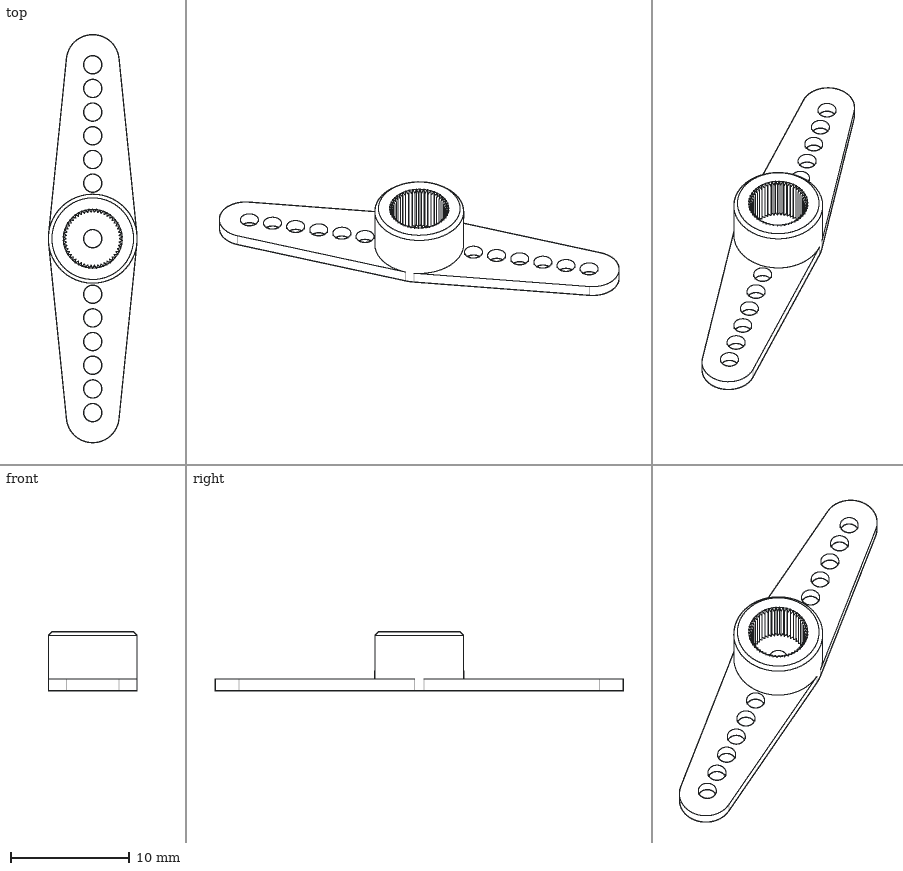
import cadquery as cq
import math

total_length = 34.48
total_height = 5.0
arm_thickness = 1.0
arm_tip_radius = 2.25
hub_radius = 3.75
hub_chamfer = 0.3

hole_diameter = 1.5
holes_per_arm = 6
hole_pitch = 2.0
first_hole_offset = 4.7

tooth_count = 50
tooth_tip_radius = 2.25
tooth_root_radius = 2.5
lead_in_radius = 2.48
lead_in_depth = lead_in_radius - tooth_tip_radius

tip_center = total_length / 2 - arm_tip_radius
hub_height = total_height - arm_thickness


def make_arm():
    """Flat double arm: straight flanks tangent to the hub circle and to the round tips."""
    lean = math.asin((hub_radius - arm_tip_radius) / tip_center)
    wide_x = hub_radius * math.cos(lean)
    wide_y = hub_radius * math.sin(lean)
    tip_x = arm_tip_radius * math.cos(lean)
    tip_y = tip_center + arm_tip_radius * math.sin(lean)
    half_length = total_length / 2
    return (
        cq.Workplane("XY")
        .moveTo(wide_x, wide_y)
        .lineTo(tip_x, tip_y)
        .threePointArc((0, half_length), (-tip_x, tip_y))
        .lineTo(-wide_x, wide_y)
        .threePointArc((-hub_radius, 0), (-wide_x, -wide_y))
        .lineTo(-tip_x, -tip_y)
        .threePointArc((0, -half_length), (tip_x, -tip_y))
        .lineTo(wide_x, -wide_y)
        .threePointArc((hub_radius, 0), (wide_x, wide_y))
        .close()
        .extrude(arm_thickness)
    )


def make_hub():
    """Round hub with a chamfered rim, running through the thickness of the arm."""
    hub = cq.Workplane("XY").circle(hub_radius).extrude(total_height)
    return hub.faces(">Z").chamfer(hub_chamfer)


def polar_point(radius, angle):
    return (radius * math.cos(angle), radius * math.sin(angle))


def make_spline_socket():
    """Socket with V-shaped teeth, open at the rim and ending level with the top of the arm."""
    pitch_angle = 2 * math.pi / tooth_count
    points = []
    for index in range(tooth_count):
        angle = index * pitch_angle
        points.append(polar_point(tooth_tip_radius, angle))
        points.append(polar_point(tooth_root_radius, angle + pitch_angle / 2))
    return cq.Workplane("XY", origin=(0, 0, arm_thickness)).polyline(points).close().extrude(hub_height)


def make_lead_in():
    """Cone at the mouth of the socket that bevels the upper ends of the teeth."""
    profile = [
        (0, total_height),
        (lead_in_radius, total_height),
        (tooth_tip_radius, total_height - lead_in_depth),
        (0, total_height - lead_in_depth),
    ]
    return cq.Workplane("XZ").polyline(profile).close().revolve(360, (0, 0), (0, 1))


def make_holes():
    """Center screw hole and the row of linkage holes along each arm."""
    centers = [(0, 0)]
    for index in range(holes_per_arm):
        offset = first_hole_offset + index * hole_pitch
        centers += [(0, offset), (0, -offset)]
    return cq.Workplane("XY").pushPoints(centers).circle(hole_diameter / 2).extrude(arm_thickness)


body = make_arm().union(make_hub())
result = body.cut(make_spline_socket()).cut(make_lead_in()).cut(make_holes())